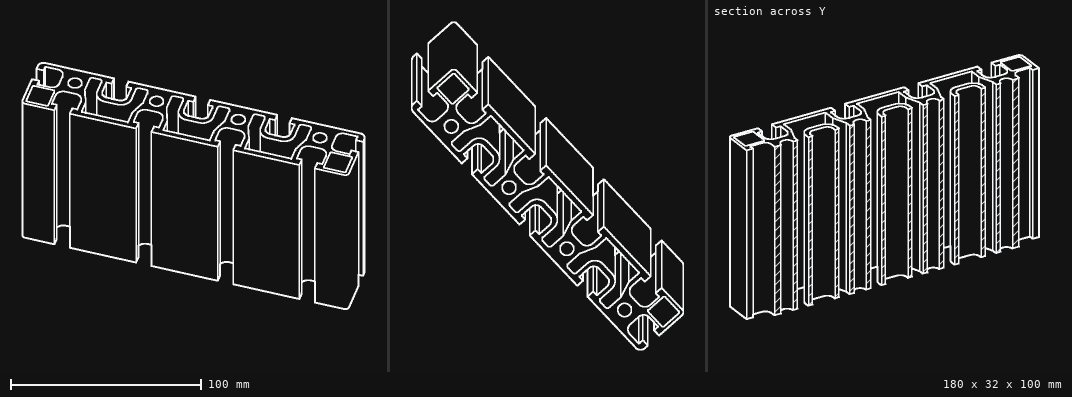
import cadquery as cq

width = 180.0
depth = 32.0
length = 100.0
pitch = 45.0

half_width = width / 2
back = depth / 2
front = -back
post_positions = [-1.5 * pitch, -0.5 * pitch, 0.5 * pitch, 1.5 * pitch]
bay_positions = [-pitch, 0.0, pitch]

back_corner_radius = 3.2
front_corner_radius = 2.2

core_diameter = 7.2
core_inset = 9.5

front_mouth = 8.5
front_lip = 4.3
front_slot_width = 14.0
front_slot_depth = 15.0
front_slot_radius = 4.3

back_mouth = 8.0
back_lip = 4.1
back_slot_width = 13.7
back_slot_depth = 14.8
back_slot_radius = 3.6

side_mouth = 8.0
side_lip = 4.0
side_slot_width = 13.7
side_slot_depth = 14.8
side_slot_radius = 3.8

chamber_neck_width = 32.0
chamber_base_width = 25.5
chamber_roof = 3.0
chamber_floor = 3.2
neck_end = front + 19.3
base_start = front + 10.6
chamber_top_radius = 1.5
channel_wall_width = 18.9
channel_wall_depth = 18.0
channel_wall_radius = 6.0

tube_side = 12.0
tube_wall = 2.0
tube_radius = 0.7


def block(x_min, x_max, y_min, y_max):
    """Full-length rectangular prism between the given limits."""
    return (
        cq.Workplane("XY")
        .center((x_min + x_max) / 2, (y_min + y_max) / 2)
        .rect(x_max - x_min, y_max - y_min)
        .extrude(length)
    )


def centred_block(x, slot_width, y_min, y_max):
    """Full-length rectangular prism centred on x."""
    return block(x - slot_width / 2, x + slot_width / 2, y_min, y_max)


def body():
    solid = block(-half_width, half_width, front, back)
    solid = solid.edges("|Z and >Y").fillet(back_corner_radius)
    return solid.edges("|Z and <Y").fillet(front_corner_radius)


def front_slot(x):
    chamber = centred_block(x, front_slot_width, front + front_lip, front + front_slot_depth)
    chamber = chamber.edges("|Z and >Y").fillet(front_slot_radius)
    mouth = centred_block(x, front_mouth, front, front + front_slot_depth / 2)
    return chamber.union(mouth)


def back_slot(x):
    chamber = centred_block(x, back_slot_width, back - back_slot_depth, back - back_lip)
    chamber = chamber.edges("|Z and <Y").fillet(back_slot_radius)
    mouth = centred_block(x, back_mouth, back - back_slot_depth / 2, back)
    return chamber.union(mouth)


def left_slot():
    centre_y = back - core_inset
    chamber = block(
        -half_width + side_lip,
        -half_width + side_slot_depth,
        centre_y - side_slot_width / 2,
        centre_y + side_slot_width / 2,
    )
    chamber = chamber.edges("|Z and >X").fillet(side_slot_radius)
    mouth = block(
        -half_width,
        -half_width + side_slot_depth / 2,
        centre_y - side_mouth / 2,
        centre_y + side_mouth / 2,
    )
    return chamber.union(mouth)


def bay_chamber(x):
    """Hollow of one bay: two necks beside the back slot joined by a wide base."""
    neck = chamber_neck_width / 2
    base = chamber_base_width / 2
    roof_y = back - chamber_roof
    floor_y = front + chamber_floor
    hollow = (
        cq.Workplane("XY")
        .polyline([
            (x - base, floor_y),
            (x + base, floor_y),
            (x + base, base_start),
            (x + neck, neck_end),
            (x + neck, roof_y),
            (x - neck, roof_y),
            (x - neck, neck_end),
            (x - base, base_start),
        ])
        .close()
        .extrude(length)
    )
    channel = centred_block(x, channel_wall_width, back - channel_wall_depth, back)
    channel = channel.edges("|Z and <Y").fillet(channel_wall_radius)
    return hollow.cut(channel).edges("|Z and >Y").fillet(chamber_top_radius)


def left_tube():
    x_min = -half_width + tube_wall
    y_min = front + tube_wall
    tube = block(x_min, x_min + tube_side, y_min, y_min + tube_side)
    return tube.edges("|Z").fillet(tube_radius)


result = body()

for post_x in post_positions:
    core = cq.Workplane("XY").center(post_x, back - core_inset).circle(core_diameter / 2).extrude(length)
    result = result.cut(core).cut(front_slot(post_x))

for bay_x in bay_positions:
    result = result.cut(back_slot(bay_x)).cut(bay_chamber(bay_x))

for side_cut in (left_slot(), left_tube()):
    result = result.cut(side_cut).cut(side_cut.mirror("YZ"))